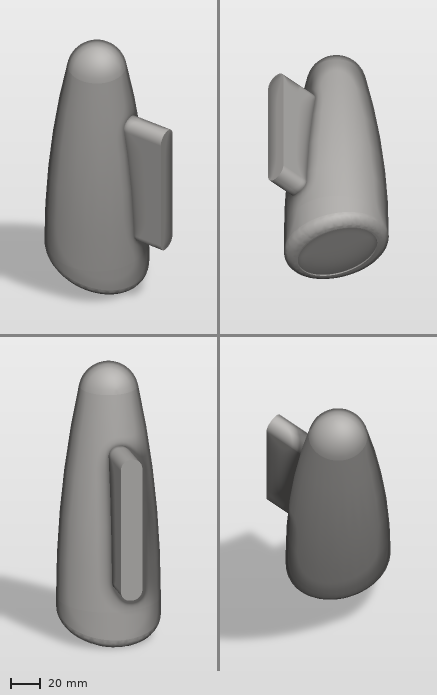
import cadquery as cq
import math


overall_height = 192.0
base_radius = 35.04
flank_radius = 735.3
shoulder_radius = 19.8
cut_angle = 20.0
rim_fillet = 7.0

lens_diameter = 55.0
lens_thickness = 2.0
lens_recess = 1.0
lens_shift = -1.2

bracket_end_x = 54.81
bracket_thickness = 15.0
bracket_bottom = 15.0
bracket_top = 115.0
bracket_fillet = 7.0

flank_center_x = base_radius - flank_radius
shoulder_angle = math.acos((shoulder_radius - flank_center_x) / flank_radius)
shoulder_z = flank_radius * math.sin(shoulder_angle)

dome_radius = shoulder_radius / math.cos(shoulder_angle)
dome_center_z = shoulder_z - dome_radius * math.sin(shoulder_angle)
dome_top = dome_center_z + dome_radius

slope = math.radians(cut_angle)
tip_half_angle = (math.pi / 2 - slope) / 2
rim_center_height = rim_fillet / math.tan(tip_half_angle)
sharp_tip_depth = overall_height - dome_top - rim_fillet + rim_center_height
cut_depth = sharp_tip_depth - base_radius * math.tan(slope)
base_bottom = -(cut_depth + base_radius)


def point_on_arc(center_x, center_z, radius, angle):
    return (center_x + radius * math.cos(angle), center_z + radius * math.sin(angle))


def slanted_plane():
    """Plane of the slanted end, with its normal pointing out of the housing."""
    return cq.Plane(
        origin=(0, 0, -cut_depth),
        xDir=(math.cos(slope), 0, -math.sin(slope)),
        normal=(-math.sin(slope), 0, -math.cos(slope)),
    )


def make_blank():
    """Revolved housing with its lower end cut on the slant and rounded."""
    flank_middle = point_on_arc(flank_center_x, 0, flank_radius, shoulder_angle / 2)
    dome_middle_angle = (shoulder_angle + math.pi / 2) / 2
    dome_middle = point_on_arc(0, dome_center_z, dome_radius, dome_middle_angle)
    envelope = (
        cq.Workplane("XZ")
        .moveTo(0, base_bottom)
        .lineTo(base_radius, base_bottom)
        .lineTo(base_radius, 0)
        .threePointArc(flank_middle, (shoulder_radius, shoulder_z))
        .threePointArc(dome_middle, (0, dome_top))
        .close()
        .revolve(360, (0, 0), (0, 1))
    )
    cylinder = (
        cq.Workplane("XY")
        .workplane(offset=base_bottom)
        .circle(base_radius)
        .extrude(dome_top - base_bottom)
    )
    waste_side = 4 * base_radius
    waste = cq.Workplane(slanted_plane()).rect(waste_side, waste_side).extrude(waste_side)
    rounded_cylinder = cylinder.cut(waste).faces("<Z").edges().fillet(rim_fillet)
    return envelope.intersect(rounded_cylinder)


def make_disc(top_depth, thickness):
    """Disc on the lens axis, starting top_depth below the slanted end."""
    return (
        cq.Workplane(slanted_plane())
        .workplane(offset=-top_depth)
        .center(lens_shift, 0)
        .circle(lens_diameter / 2)
        .extrude(-thickness)
    )


def make_bracket(blank):
    """Wall plate with rounded long edges, fitted to the side of the housing."""
    bracket_height = bracket_top - bracket_bottom
    plate = (
        cq.Workplane("XY")
        .box(bracket_end_x, bracket_thickness, bracket_height, centered=(False, True, False))
        .translate((0, 0, bracket_bottom))
        .edges("|X")
        .fillet(bracket_fillet)
    )
    return plate.cut(blank)


blank = make_blank()
housing = blank.cut(make_disc(0, lens_recess + lens_thickness))
lens = make_disc(lens_recess, lens_thickness)
bracket = make_bracket(blank)

result = cq.Compound.makeCompound([*housing.vals(), *lens.vals(), *bracket.vals()])